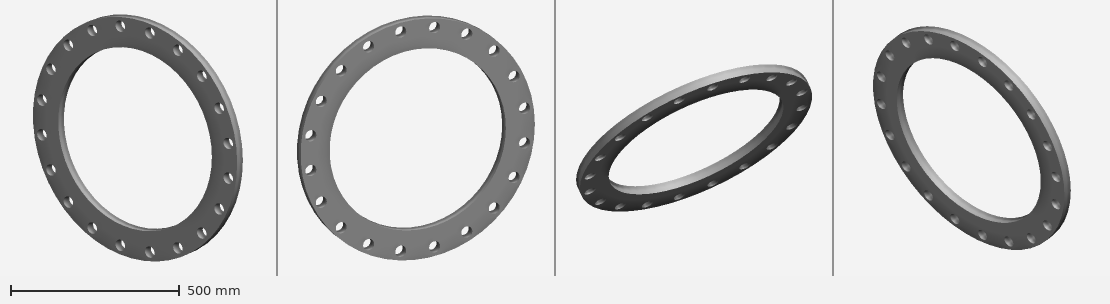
import cadquery as cq

outer_diameter = 749.3
bore_diameter = 563.63
thickness = 28.75

bolt_count = 20
bolt_hole_diameter = 34.92
bolt_circle_diameter = 692.15
bolt_pitch_angle = 360 / bolt_count
first_bolt_angle = bolt_pitch_angle / 2


def front_face():
    """XZ workplane on the -Y face; extrusions with negative length run toward +Y."""
    return cq.Workplane("XZ", origin=(0, -thickness / 2, 0))


def make_ring():
    """Flat annular plate centred on the origin."""
    return (
        front_face()
        .circle(outer_diameter / 2)
        .circle(bore_diameter / 2)
        .extrude(-thickness)
    )


def make_bolt_holes():
    """Cylinders that cut the bolt holes through the full thickness."""
    return (
        front_face()
        .polarArray(bolt_circle_diameter / 2, first_bolt_angle, 360, bolt_count)
        .circle(bolt_hole_diameter / 2)
        .extrude(-thickness)
    )


result = make_ring().cut(make_bolt_holes())